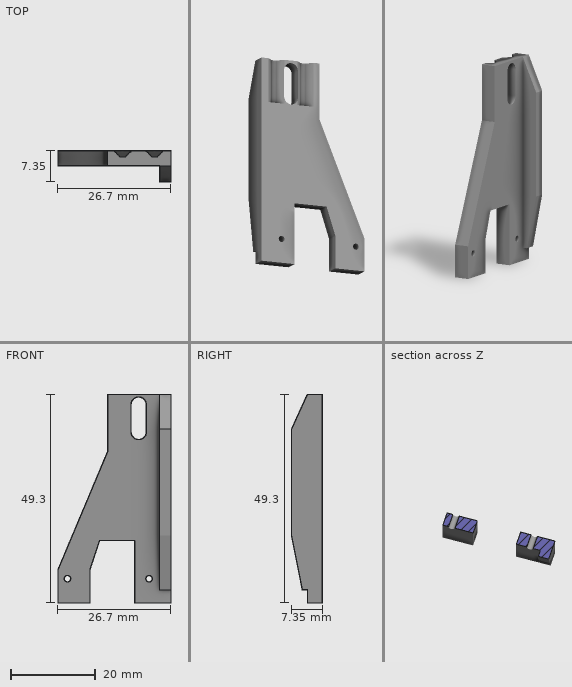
import cadquery as cq

height = 49.3
width = 26.7
depth = 7.35

plate_thickness = 3.6
neck_left = 11.75
shoulder_z = 35.8
knee_z = 7.9
left_leg_width = 7.6
right_leg_width = 8.6
arch_height = 14.75
arch_top_width = 8.3

hole_diameter = 1.5
hole_z = 5.75
left_hole_x = 2.25
hole_spacing = 19.25

slot_width = 3.55
slot_length = 10.0
slot_x = 19.08
slot_top_gap = 0.65

groove_spacing = 7.55
groove_floor = 1.1
groove_depth = 1.55

rib_width = 2.65
rib_bottom_z = 3.15
rib_bottom_step = 1.2
rib_lower_bend_z = 15.95
rib_upper_bend_z = 41.05

right_leg_left = width - right_leg_width
slot_top = height - slot_top_gap
slot_bottom = slot_top - slot_length
groove_mouth = groove_floor + 2 * groove_depth


def make_plate():
    """Plate with a narrow neck above two legs and an arch between them."""
    outline = [
        (0, 0),
        (left_leg_width, 0),
        (left_leg_width, knee_z),
        (right_leg_left - arch_top_width, arch_height),
        (right_leg_left, arch_height),
        (right_leg_left, 0),
        (width, 0),
        (width, height),
        (neck_left, height),
        (neck_left, shoulder_z),
        (0, knee_z),
    ]
    return cq.Workplane("XZ").polyline(outline).close().extrude(plate_thickness)


def make_rib():
    """Rib tapering to the plate at its top and to a small step at its bottom."""
    front = -plate_thickness
    profile = [
        (front, rib_bottom_z),
        (front - rib_bottom_step, rib_bottom_z),
        (-depth, rib_lower_bend_z),
        (-depth, rib_upper_bend_z),
        (front, height),
        (0, height),
        (0, rib_bottom_z),
    ]
    side = cq.Workplane("YZ").workplane(offset=width - rib_width)
    return side.polyline(profile).close().extrude(rib_width)


def make_pin_holes():
    centers = [(left_hole_x, hole_z), (left_hole_x + hole_spacing, hole_z)]
    return cq.Workplane("XZ").pushPoints(centers).circle(hole_diameter / 2).extrude(plate_thickness)


def make_slot():
    center_z = (slot_top + slot_bottom) / 2
    return (
        cq.Workplane("XZ")
        .center(slot_x, center_z)
        .slot2D(slot_length, slot_width, 90)
        .extrude(plate_thickness)
    )


def make_groove(center_x):
    """Groove cutter from the level of the slot's lower end up to the top face."""
    section = [
        (center_x - groove_mouth / 2, 0),
        (center_x - groove_floor / 2, -groove_depth),
        (center_x + groove_floor / 2, -groove_depth),
        (center_x + groove_mouth / 2, 0),
    ]
    base = cq.Workplane("XY").workplane(offset=slot_bottom)
    return base.polyline(section).close().extrude(height - slot_bottom)


result = make_plate().union(make_rib()).cut(make_pin_holes()).cut(make_slot())
for side in (-1, 1):
    result = result.cut(make_groove(slot_x + side * groove_spacing / 2))